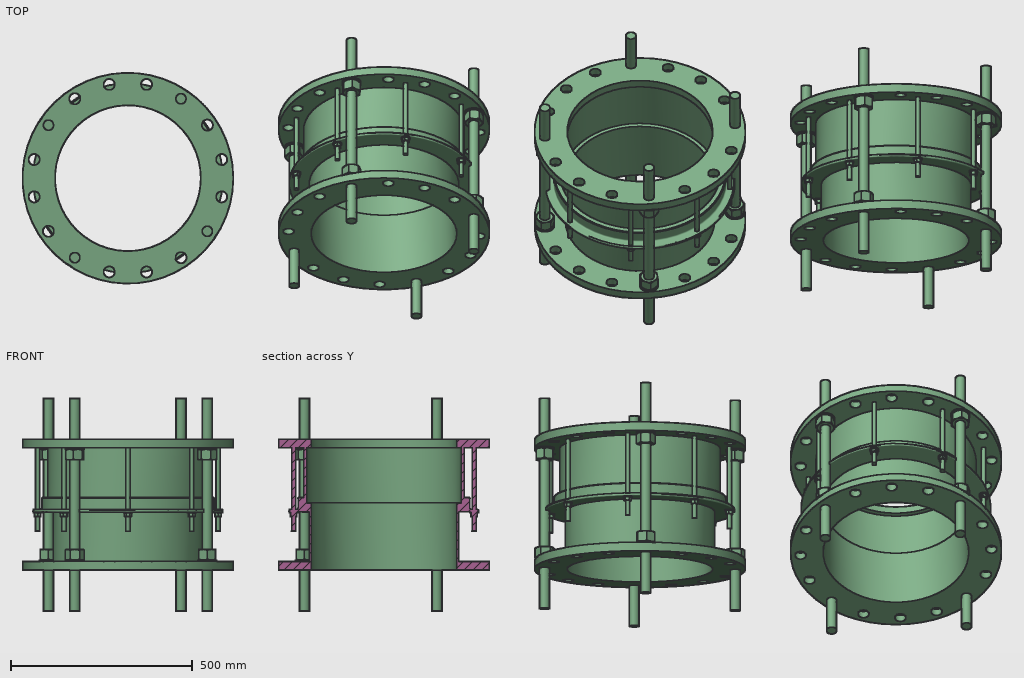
import cadquery as cq
import math

face_to_face = 360.0
tie_rod_length = 585.0

flange_diameter = 580.0
flange_thickness = 24.0
bore_diameter = 400.0
bolt_circle_diameter = 525.0
bolt_hole_diameter = 30.0
bolt_position_count = 16
bolt_pitch_angle = 360.0 / bolt_position_count
first_bolt_angle = bolt_pitch_angle / 2

tie_rod_diameter = 28.0
tie_rod_spacing = 4
first_tie_rod_position = 2
tie_nut_across_flats = 46.0
tie_nut_height = 29.0
tie_nut_chamfer_drop = 2.0
tie_washer_diameter = 52.0
tie_washer_thickness = 4.0
upper_nut_twist = 24.75
lower_nut_twist = 3.75

spigot_outer_diameter = 412.0
spigot_end_z = 5.0
socket_outer_diameter = 442.0
socket_inner_diameter = 424.0

collar_diameter = 474.0
collar_top_z = 20.0
collar_chamfer = 2.0
gland_diameter = 522.0
gland_top_z = -12.5
gland_thickness = 8.0
gland_edge_radius = 3.0
gland_root_radius = 4.0

stud_count = 8
stud_circle_diameter = 496.0
stud_diameter = 12.0
stud_bottom_z = -72.5
stud_nut_across_flats = 18.0
stud_nut_height = 10.0
stud_nut_chamfer_drop = 0.8
stud_nut_twist = 30.0
stud_washer_diameter = 24.0
stud_washer_thickness = 2.0

flange_outer_z = face_to_face / 2
flange_inner_z = flange_outer_z - flange_thickness
gland_bottom_z = gland_top_z - gland_thickness

bolt_angles = [first_bolt_angle + i * bolt_pitch_angle for i in range(bolt_position_count)]
tie_rod_angles = bolt_angles[first_tie_rod_position::tie_rod_spacing]
open_hole_angles = [angle for angle in bolt_angles if angle not in tie_rod_angles]
stud_angles = [i * 360.0 / stud_count for i in range(stud_count)]


def polar_point(circle_diameter, angle):
    radius = circle_diameter / 2
    return (radius * math.cos(math.radians(angle)), radius * math.sin(math.radians(angle)))


def cylinder(diameter, bottom_z, top_z, points=((0, 0),)):
    """Upright cylinders between two heights, one at each point."""
    base = cq.Workplane("XY").workplane(offset=bottom_z)
    return base.pushPoints(points).circle(diameter / 2).extrude(top_z - bottom_z)


def tube(outer_diameter, inner_diameter, bottom_z, top_z):
    return cylinder(outer_diameter, bottom_z, top_z).cut(cylinder(inner_diameter, bottom_z, top_z))


def hex_nut(across_flats, height, chamfer_drop):
    """Solid hexagonal nut standing on Z = 0, a corner toward +X, corners bevelled at both ends."""
    across_corners = across_flats / math.cos(math.radians(30))
    prism = cq.Workplane("XY").polygon(6, across_corners).extrude(height)
    corner_excess = (across_corners - across_flats) / 2
    bevel = cylinder(across_corners, 0, height).faces("<Z or >Z").chamfer(chamfer_drop, corner_excess)
    return prism.intersect(bevel)


def place(shape, circle_diameter, angle, twist, bottom_z):
    x, y = polar_point(circle_diameter, angle)
    return shape.rotate((0, 0, 0), (0, 0, 1), angle + twist).translate((x, y, bottom_z))


def flange(bottom_z):
    top_z = bottom_z + flange_thickness
    holes = [polar_point(bolt_circle_diameter, angle) for angle in open_hole_angles]
    blank = tube(flange_diameter, bore_diameter, bottom_z, top_z)
    return blank.cut(cylinder(bolt_hole_diameter, bottom_z, top_z, holes))


def spigot_body():
    """Lower flange with the plain pipe that slides into the socket."""
    pipe = tube(spigot_outer_diameter, bore_diameter, -flange_inner_z, spigot_end_z)
    return flange(-flange_outer_z).union(pipe)


def socket_body():
    """Upper flange with the wider pipe reaching down to the gland ring."""
    pipe = tube(socket_outer_diameter, socket_inner_diameter, gland_top_z, flange_inner_z)
    return flange(flange_inner_z).union(pipe)


def collar_and_gland():
    """Collar blended into the gland ring, with the seal filling the gap around the spigot."""
    ring = cylinder(gland_diameter, gland_bottom_z, gland_top_z).faces("<Z or >Z").edges()
    ring = ring.fillet(gland_edge_radius)
    collar = cylinder(collar_diameter, gland_top_z, collar_top_z).faces(">Z").chamfer(collar_chamfer)
    root_radius = collar_diameter / 2
    root_fillet = (
        cq.Workplane("XZ")
        .moveTo(0, gland_top_z)
        .lineTo(root_radius + gland_root_radius, gland_top_z)
        .radiusArc((root_radius, gland_top_z + gland_root_radius), gland_root_radius)
        .lineTo(0, gland_top_z + gland_root_radius)
        .close()
        .revolve(360, (0, 0, 0), (0, 1, 0))
    )
    spigot_passage = cylinder(spigot_outer_diameter, gland_bottom_z, spigot_end_z)
    socket_passage = cylinder(socket_inner_diameter, spigot_end_z, collar_top_z)
    return ring.union(collar).union(root_fillet).cut(spigot_passage).cut(socket_passage)


def tie_rods():
    """Tie rods through both flanges, each with a washer and nut on the inner flange faces."""
    points = [polar_point(bolt_circle_diameter, angle) for angle in tie_rod_angles]
    nut_seat_z = flange_inner_z - tie_washer_thickness
    rods = cylinder(tie_rod_diameter, -tie_rod_length / 2, tie_rod_length / 2, points)
    rods = rods.union(cylinder(tie_washer_diameter, nut_seat_z, flange_inner_z, points))
    rods = rods.union(cylinder(tie_washer_diameter, -flange_inner_z, -nut_seat_z, points))
    nut = hex_nut(tie_nut_across_flats, tie_nut_height, tie_nut_chamfer_drop)
    for angle in tie_rod_angles:
        upper_z = nut_seat_z - tie_nut_height
        rods = rods.union(place(nut, bolt_circle_diameter, angle, upper_nut_twist, upper_z))
        rods = rods.union(place(nut, bolt_circle_diameter, angle, lower_nut_twist, -nut_seat_z))
    return rods


def gland_studs():
    """Studs hanging from the upper flange through the gland ring, each with a washer and nut below it."""
    points = [polar_point(stud_circle_diameter, angle) for angle in stud_angles]
    studs = cylinder(stud_diameter, stud_bottom_z, flange_inner_z, points)
    nut_seat_z = gland_bottom_z - stud_washer_thickness
    studs = studs.union(cylinder(stud_washer_diameter, nut_seat_z, gland_bottom_z, points))
    nut = hex_nut(stud_nut_across_flats, stud_nut_height, stud_nut_chamfer_drop)
    for angle in stud_angles:
        nut_bottom_z = nut_seat_z - stud_nut_height
        studs = studs.union(place(nut, stud_circle_diameter, angle, stud_nut_twist, nut_bottom_z))
    return studs


result = (
    spigot_body()
    .union(collar_and_gland())
    .union(socket_body())
    .union(gland_studs())
    .union(tie_rods())
)